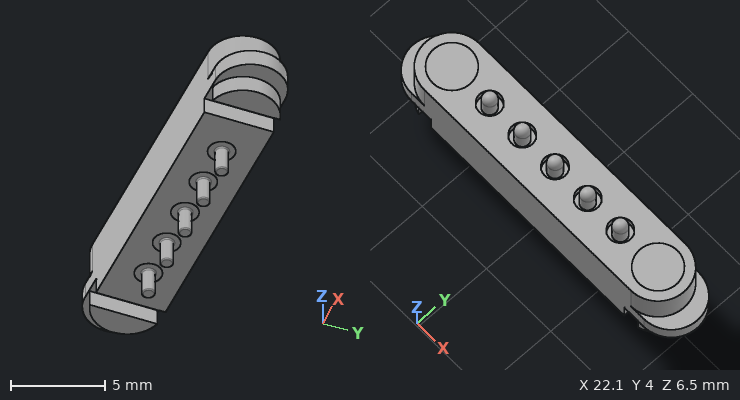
import cadquery as cq

WIDTH = 4.0
FLANGE_LENGTH = 22.1
BLOCK_LENGTH = 20.05
HOUSING_HEIGHT = 4.0
FLANGE_BOTTOM = HOUSING_HEIGHT / 4
FLANGE_TOP = HOUSING_HEIGHT / 2
FOOT_LENGTH = 1.5
SLOT_LENGTH = 1.0

MAGNET_DIAMETER = 2.8
MAGNET_DEPTH = FLANGE_TOP
MAGNET_X = (BLOCK_LENGTH - WIDTH) / 2

PIN_COUNT = 5
PIN_PITCH = 2.55
PLUNGER_DIAMETER = 0.9
PLUNGER_PROTRUSION = 1.0
TAIL_DIAMETER = 0.7
TAIL_PROTRUSION = 1.5
TAIL_FILLET = 0.07
BARREL_DIAMETER = 1.5
BARREL_RECESS = 0.5
BARREL_TOP = HOUSING_HEIGHT - BARREL_RECESS
PIN_XS = [(i - (PIN_COUNT - 1) / 2) * PIN_PITCH for i in range(PIN_COUNT)]


def cylinder(x, bottom, top, diameter):
    """Upright cylinder on the centre line of the housing."""
    return cq.Workplane("XY", origin=(x, 0, bottom)).circle(diameter / 2).extrude(top - bottom)


def stadium(length, bottom, top):
    """Upright prism with straight sides and full-round ends."""
    return cq.Workplane("XY", origin=(0, 0, bottom)).slot2D(length, WIDTH).extrude(top - bottom)


def make_housing():
    block = stadium(BLOCK_LENGTH, 0, HOUSING_HEIGHT)
    flange = stadium(FLANGE_LENGTH, FLANGE_BOTTOM, FLANGE_TOP)
    housing = block.union(flange)

    slot_x = BLOCK_LENGTH / 2 - FOOT_LENGTH - SLOT_LENGTH / 2
    for x in (-slot_x, slot_x):
        slot = cq.Workplane("XY", origin=(x, 0, 0)).rect(SLOT_LENGTH, WIDTH).extrude(FLANGE_BOTTOM)
        housing = housing.cut(slot)

    for x in (-MAGNET_X, MAGNET_X):
        housing = housing.cut(make_magnet(x))

    for x in PIN_XS:
        housing = housing.cut(cylinder(x, 0, HOUSING_HEIGHT, BARREL_DIAMETER))
    return housing


def make_magnet(x):
    return cylinder(x, HOUSING_HEIGHT - MAGNET_DEPTH, HOUSING_HEIGHT, MAGNET_DIAMETER)


def make_pin(x):
    """Contact pin with a domed plunger, a barrel filling the housing bore and a solder tail."""
    dome_radius = PLUNGER_DIAMETER / 2
    dome_base = HOUSING_HEIGHT + PLUNGER_PROTRUSION - dome_radius
    dome = cq.Workplane("XY", origin=(x, 0, dome_base)).sphere(dome_radius)
    plunger = cylinder(x, BARREL_TOP, dome_base, PLUNGER_DIAMETER)
    barrel = cylinder(x, 0, BARREL_TOP, BARREL_DIAMETER)
    tail = cylinder(x, -TAIL_PROTRUSION, 0, TAIL_DIAMETER)

    tail_edges = cq.selectors.RadiusNthSelector(0)
    barrel_and_tail = barrel.union(tail).edges("%CIRCLE").edges(tail_edges).fillet(TAIL_FILLET)
    return barrel_and_tail.union(plunger).union(dome)


housing = make_housing()
magnets = [make_magnet(x) for x in (-MAGNET_X, MAGNET_X)]
pins = [make_pin(x) for x in PIN_XS]

result = cq.Compound.makeCompound(
    [housing.val()] + [magnet.val() for magnet in magnets] + [pin.val() for pin in pins]
)